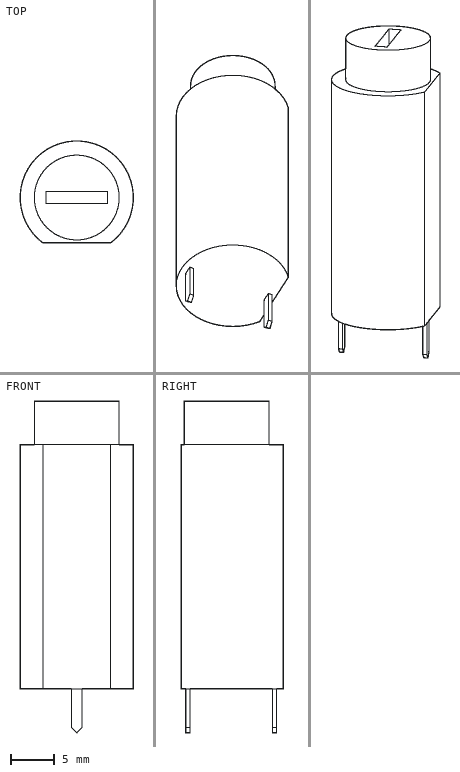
import cadquery as cq

total_height = 38.0
pin_length = 5.0
cap_height = 4.98
body_height = total_height - pin_length - cap_height

body_diameter = 13.0
body_depth = 11.7
flat_y = body_diameter / 2 - body_depth

cap_diameter = 9.73
slot_length = 7.0
slot_width = 1.4
slot_depth = 2.0

pin_width = 1.2
pin_thickness = 0.5
tip_length = 0.6
front_pin_y = -4.45
rear_pin_y = 5.47


def make_body():
    """Cylinder trimmed by a flat facing -Y, standing on Z = 0."""
    cylinder = cq.Workplane("XY").circle(body_diameter / 2).extrude(body_height)
    envelope = (
        cq.Workplane("XY", origin=(0, flat_y + body_depth / 2, 0))
        .rect(body_diameter, body_depth)
        .extrude(body_height)
    )
    return cylinder.intersect(envelope)


def make_cap():
    """Round cap with a straight slot in its top face."""
    cap = cq.Workplane("XY").workplane(offset=body_height).circle(cap_diameter / 2).extrude(cap_height)
    return cap.faces(">Z").workplane().rect(slot_length, slot_width).cutBlind(-slot_depth)


def make_pin(center_y):
    """Flat pin below the body, tapering to a point."""
    half_width = pin_width / 2
    shoulder_z = tip_length - pin_length
    profile = [
        (-half_width, 0),
        (half_width, 0),
        (half_width, shoulder_z),
        (0, -pin_length),
        (-half_width, shoulder_z),
    ]
    return (
        cq.Workplane("XZ", origin=(0, center_y, 0))
        .polyline(profile)
        .close()
        .extrude(pin_thickness / 2, both=True)
    )


result = make_body().union(make_cap())
for pin_y in (front_pin_y, rear_pin_y):
    result = result.union(make_pin(pin_y))